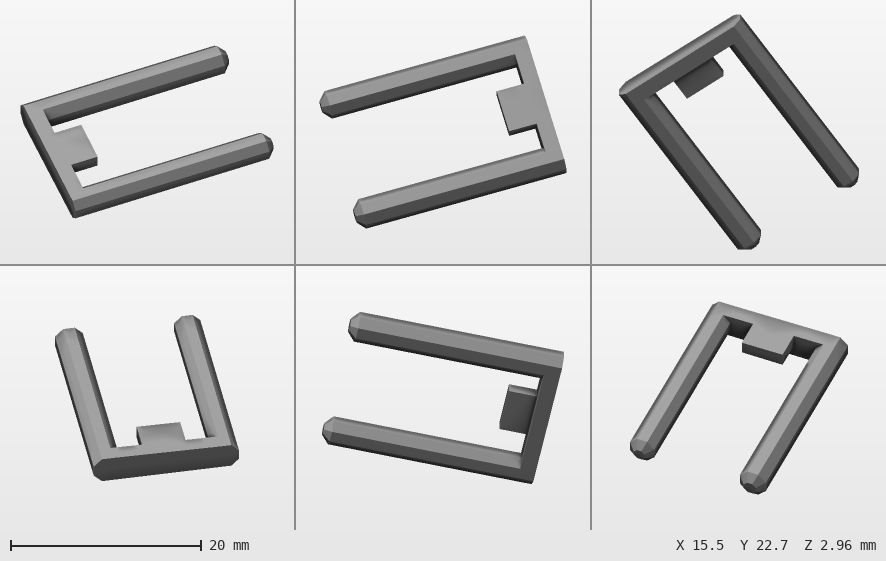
import cadquery as cq
import math

overall_width = 15.48
overall_length = 22.67

left_leg_size = 2.96
right_leg_size = 2.78
tip_length = 0.8
tip_inset = 0.8

bar_depth = 1.67
tongue_length = 3.0
tongue_width = 4.64
tongue_center_x = 7.78
tongue_bottom_z = 1.4

left_leg_x = left_leg_size / 2
right_leg_x = overall_width - right_leg_size / 2
tip_start_y = overall_length - tip_length


def octagon_corner(size):
    """Distance from the end of a flat to the bounding square's corner."""
    return size * (1 - math.tan(math.pi / 8)) / 2


def octagon(size, center_x, center_z, y):
    """Regular octagon wire in the plane at Y = y, with flats along X and Z."""
    half = size / 2
    half_flat = half - octagon_corner(size)
    corners = [
        (half, half_flat), (half_flat, half), (-half_flat, half), (-half, half_flat),
        (-half, -half_flat), (-half_flat, -half), (half_flat, -half), (half, -half_flat),
    ]
    points = [cq.Vector(center_x + dx, y, center_z + dz) for dx, dz in corners]
    return cq.Wire.makePolygon(points, close=True)


def make_leg(size, center_x):
    """Octagonal rod along Y with a tapered tip at its free end."""
    center_z = size / 2
    start = octagon(size, center_x, center_z, 0)
    shoulder = octagon(size, center_x, center_z, tip_start_y)
    end = octagon(size - 2 * tip_inset, center_x, center_z, overall_length)
    rod = cq.Solid.makeLoft([start, shoulder], True)
    tip = cq.Solid.makeLoft([shoulder, end], True)
    return cq.Workplane(rod).union(cq.Workplane(tip))


def make_bar_blank():
    """Slab as deep as bar and tongue, flat below, its top sloping from left leg down to right leg."""
    left_edge_x = left_leg_size - octagon_corner(left_leg_size)
    right_edge_x = overall_width - right_leg_size + octagon_corner(right_leg_size)
    outline = [
        (left_edge_x, 0),
        (right_edge_x, 0),
        (right_edge_x, right_leg_size),
        (left_edge_x, left_leg_size),
    ]
    return cq.Workplane("XZ").polyline(outline).close().extrude(-(bar_depth + tongue_length))


def make_clearance():
    """Space to remove behind the bar, leaving only the tongue."""
    space = cq.Workplane("XY").box(
        overall_width, tongue_length, left_leg_size, centered=(False, False, False)
    )
    tongue = cq.Workplane("XY").box(
        tongue_width, tongue_length, left_leg_size, centered=(True, False, False)
    )
    tongue = tongue.translate((tongue_center_x, 0, tongue_bottom_z))
    return space.cut(tongue).translate((0, bar_depth, 0))


left_leg = make_leg(left_leg_size, left_leg_x)
right_leg = make_leg(right_leg_size, right_leg_x)
bar_with_tongue = make_bar_blank().cut(make_clearance())

result = bar_with_tongue.union(left_leg).union(right_leg)